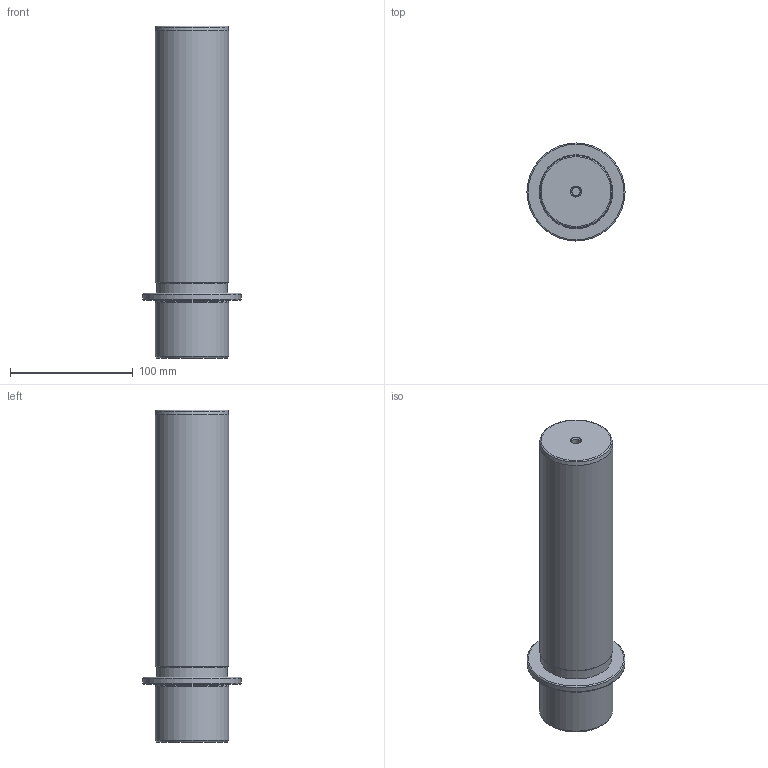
import cadquery as cq

column_radius = 30.0
total_height = 271.0
bottom_chamfer_width = 1.0
bottom_chamfer_height = 1.5

lead_tip_radius = 29.3
lead_length = 4.0
lead_fillet = 1.0

flange_radius = 40.0
flange_bottom = 47.0
flange_thickness = 6.0
flange_fillet = 1.0

relief_radius = 29.0
upper_relief_height = 8.0
lower_relief_radius = 29.75
lower_relief_height = 0.8
lower_relief_slope = 0.6

bore_radius = 3.4
bore_depth = 20.0
countersink_radius = 4.5

flange_top = flange_bottom + flange_thickness
upper_relief_top = flange_top + upper_relief_height
column_chamfer = column_radius - relief_radius


def disc(radius, bottom, top):
    """Cylinder about Z between two heights."""
    return cq.Workplane("XY").workplane(offset=bottom).circle(radius).extrude(top - bottom)


def make_shank():
    """Lower cylinder with a chamfered foot and a shallow, sloped relief under the flange."""
    shoulder = flange_bottom - lower_relief_height
    profile = [
        (0, 0),
        (column_radius - bottom_chamfer_width, 0),
        (column_radius, bottom_chamfer_height),
        (column_radius, shoulder - lower_relief_slope),
        (lower_relief_radius, shoulder),
        (lower_relief_radius, flange_bottom),
        (0, flange_bottom),
    ]
    return cq.Workplane("XZ").polyline(profile).close().revolve(360, (0, 0), (0, 1))


def make_flange():
    """Flange disc with both rims rounded."""
    return disc(flange_radius, flange_bottom, flange_top).edges().fillet(flange_fillet)


def make_column():
    """Guide column above its relief, with a chamfered lower edge and a lead-in at the top."""
    lead_bottom = total_height - lead_length
    relief = disc(relief_radius, flange_top, upper_relief_top)
    guide = disc(column_radius, upper_relief_top, lead_bottom).faces("<Z").chamfer(column_chamfer)
    lead = (
        cq.Workplane("XY")
        .workplane(offset=lead_bottom)
        .circle(column_radius)
        .workplane(offset=lead_length)
        .circle(lead_tip_radius)
        .loft(ruled=True)
        .faces(">Z")
        .edges()
        .fillet(lead_fillet)
    )
    return relief.union(guide).union(lead)


def make_bore():
    """Flat-bottomed bore with a 45 degree countersink, cut from the top face."""
    countersink_depth = countersink_radius - bore_radius
    profile = [
        (0, total_height),
        (countersink_radius, total_height),
        (bore_radius, total_height - countersink_depth),
        (bore_radius, total_height - bore_depth),
        (0, total_height - bore_depth),
    ]
    return cq.Workplane("XZ").polyline(profile).close().revolve(360, (0, 0), (0, 1))


result = make_shank().union(make_flange()).union(make_column()).cut(make_bore())